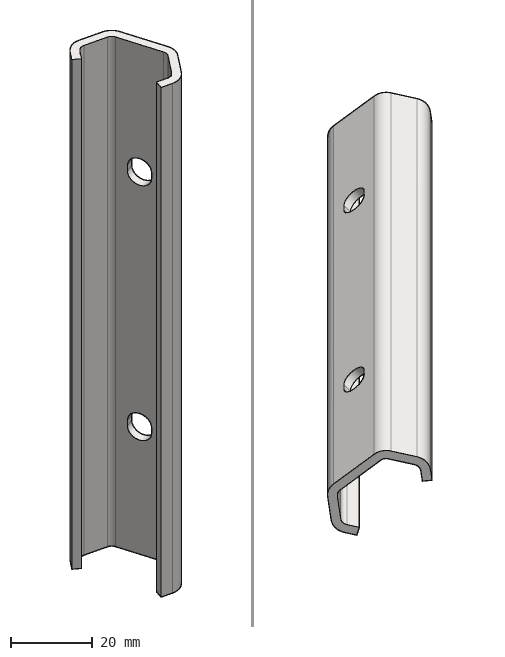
import cadquery as cq
import math

length = 160.0
width = 29.5
depth = 15.0

thickness = 2.4
inner_radius = 2.0
outer_radius = inner_radius + thickness
web_half_width = 6.5
bend_angle = math.radians(56)

slot_width = 6.5
slot_length = 8.3
slot_end_distance = 40.0

cos_bend = math.cos(bend_angle)
sin_bend = math.sin(bend_angle)
web_bend = (web_half_width, -outer_radius)
side_x = width / 2 - outer_radius
side_bend = (side_x, -outer_radius - (side_x - web_half_width) * math.tan(bend_angle))
lip_length = (depth + side_bend[1] - outer_radius * cos_bend) / sin_bend


def on_bend(center, radius, angle):
    """Point of a bend, with the angle measured from +Y towards +X."""
    return (center[0] + radius * math.sin(angle), center[1] + radius * math.cos(angle))


def lip_end(radius):
    """End of the lip face that leaves the side bend at the given radius."""
    x, y = on_bend(side_bend, radius, math.pi - bend_angle)
    return (x - lip_length * cos_bend, y - lip_length * sin_bend)


def half_section():
    """Right half of the section, closed along the symmetry plane."""
    return (
        cq.Workplane("XY")
        .moveTo(0, 0)
        .lineTo(web_half_width, 0)
        .threePointArc(
            on_bend(web_bend, outer_radius, bend_angle / 2),
            on_bend(web_bend, outer_radius, bend_angle),
        )
        .lineTo(*on_bend(side_bend, outer_radius, bend_angle))
        .threePointArc(
            on_bend(side_bend, outer_radius, math.pi / 2),
            on_bend(side_bend, outer_radius, math.pi - bend_angle),
        )
        .lineTo(*lip_end(outer_radius))
        .lineTo(*lip_end(inner_radius))
        .lineTo(*on_bend(side_bend, inner_radius, math.pi - bend_angle))
        .threePointArc(
            on_bend(side_bend, inner_radius, math.pi / 2),
            on_bend(side_bend, inner_radius, bend_angle),
        )
        .lineTo(*on_bend(web_bend, inner_radius, bend_angle))
        .threePointArc(
            on_bend(web_bend, inner_radius, bend_angle / 2),
            (web_half_width, -thickness),
        )
        .lineTo(0, -thickness)
        .close()
    )


def mounting_slots():
    """Cutters that pass through the web near both ends of the rail."""
    slot_positions = [(0, slot_end_distance), (0, length - slot_end_distance)]
    return (
        cq.Workplane("XZ")
        .pushPoints(slot_positions)
        .slot2D(slot_length, slot_width, 90)
        .extrude(thickness, both=True)
    )


half_rail = half_section().extrude(length)
rail = half_rail.union(half_rail.mirror("YZ")).clean()
result = rail.cut(mounting_slots())